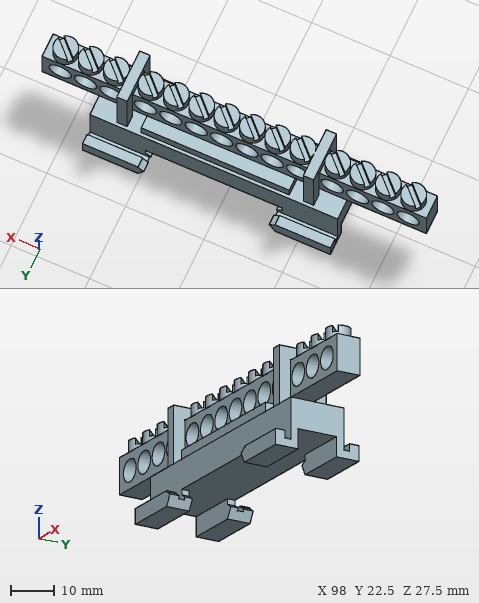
import cadquery as cq

bar_length = 98.0
bar_width = 6.2
bar_bottom = 15.3
bar_top = 24.5
bar_middle = (bar_bottom + bar_top) / 2

terminals_per_group = (4, 7, 3)
terminal_span = 88.7
clamp_gap = 8.8
gap_count = len(terminals_per_group) - 1
pitch_count = sum(terminals_per_group) - 1 - gap_count
pitch = (terminal_span - gap_count * clamp_gap) / pitch_count
wire_hole_diameter = 5.7

screw_diameter = 6.0
total_height = 27.5
screw_slot_width = 1.4
screw_slot_depth = 1.6
screw_slot_angle = -45

base_x = 3.3
base_length = 63.2
base_width = 14.4
base_top = 12.4
leg_height = 5.0

feet_width = 22.5
feet_inner_width = 10.4
lip_inner_width = 17.4
lip_height = 3.9
groove_floor = 2.1
leg_inner_x = 17.4
hook_tip_x = 16.0
hook_tip_z = 2.6
hook_top_z = 3.6

pedestal_length = 37.7
clamp_width = 12.7
clamp_thickness = 2.6
clamp_spacing = 47.5
clamp_window_width = 6.8


def block(length, width, z_bottom, z_top, x=0.0, y=0.0):
    """Box centred on (x, y) between two heights."""
    box = cq.Workplane("XY").box(length, width, z_top - z_bottom, centered=(True, True, False))
    return box.translate((x, y, z_bottom))


def terminal_positions():
    """X of every terminal, with a wider step wherever a clamp sits."""
    positions = []
    x = -terminal_span / 2
    for count in terminals_per_group:
        positions += [x + i * pitch for i in range(count)]
        x = positions[-1] + clamp_gap
    return positions


def make_bar(positions):
    bar = block(bar_length, bar_width, bar_bottom, bar_top)
    holes = (
        cq.Workplane("XZ", origin=(0, 0, bar_middle))
        .pushPoints([(x, 0) for x in positions])
        .circle(wire_hole_diameter / 2)
        .extrude(bar_width, both=True)
    )
    return bar.cut(holes)


def make_screw(x):
    screw = cq.Workplane("XY").circle(screw_diameter / 2).extrude(total_height - bar_top)
    slot = block(2 * screw_diameter, screw_slot_width, 0, screw_slot_depth)
    slot = slot.rotate((0, 0, 0), (0, 0, 1), screw_slot_angle)
    slot = slot.translate((0, 0, total_height - bar_top - screw_slot_depth))
    return screw.cut(slot).translate((x, 0, bar_top))


def make_foot_pair():
    """Both feet at the +X end: hook profile swept along Y, with cavity and grooves removed."""
    end_x = base_length / 2
    feet = (
        cq.Workplane("XZ")
        .polyline([
            (end_x, 0),
            (leg_inner_x, 0),
            (hook_tip_x, hook_tip_z),
            (leg_inner_x, hook_top_z),
            (leg_inner_x, leg_height),
            (end_x, leg_height),
        ])
        .close()
        .extrude(feet_width / 2, both=True)
    )
    cavity = block(base_length, feet_inner_width, 0, leg_height, x=end_x)
    feet = feet.cut(cavity)

    lip_width = (feet_width - lip_inner_width) / 2
    groove_width = (lip_inner_width - base_width) / 2
    for side in (-1, 1):
        lip_y = side * (feet_width - lip_width) / 2
        groove_y = side * (base_width + groove_width) / 2
        feet = feet.cut(block(base_length, lip_width, lip_height, leg_height, end_x, lip_y))
        feet = feet.cut(block(base_length, groove_width, groove_floor, leg_height, end_x, groove_y))
    return feet


def make_base():
    base = block(base_length, base_width, leg_height, base_top)
    feet = make_foot_pair()
    base = base.union(feet).union(feet.mirror("YZ"))
    base = base.union(block(pedestal_length, clamp_width, base_top, bar_bottom))
    for side in (-1, 1):
        base = base.union(make_clamp(side * clamp_spacing / 2))
    return base.translate((base_x, 0, 0))


def make_clamp(x):
    """Upright frame whose window lets the bar pass through."""
    frame = block(clamp_thickness, clamp_width, base_top, total_height, x)
    return frame.cut(block(clamp_thickness, clamp_window_width, base_top, bar_top, x))


terminals = terminal_positions()
result = make_base().union(make_bar(terminals))
for terminal_x in terminals:
    result = result.union(make_screw(terminal_x))